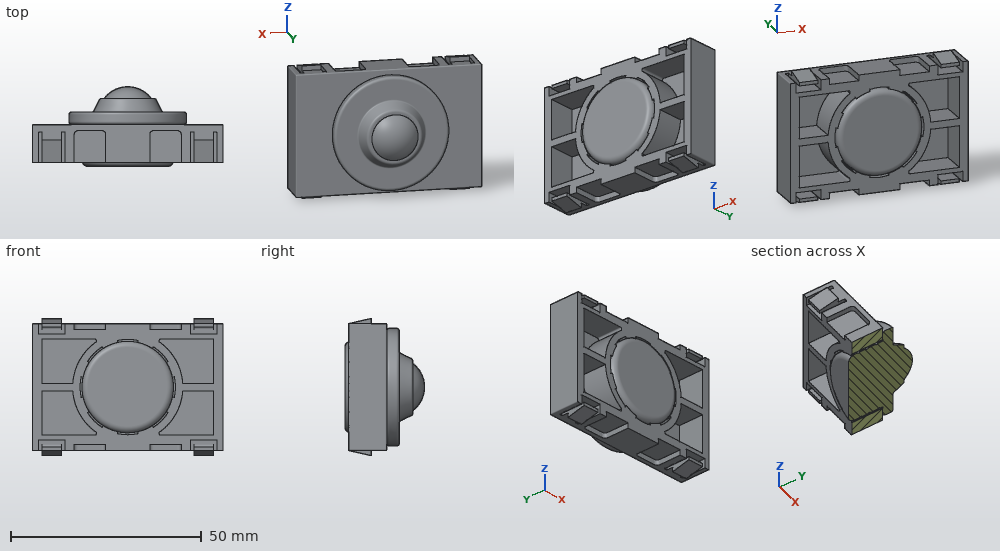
import cadquery as cq
import math


housing_width = 50.0
housing_height = 33.3
housing_depth = 10.0
half_height = housing_height / 2
edge_fillet = 0.3
back_wall = 1.6

barrel_radius = 12.0
notch_radius = 12.5
notch_angle = 25.0
notch_count = 8

pocket_outer_x = 22.5
pocket_inner_x = 8.25
pocket_outer_z = 12.6
rib_thickness = 2.0
bore_wall_radius = 14.45
pocket_corner_fillet = 0.4

window_center_x = 9.9
window_width = 8.25
window_depth = 1.6
window_corner_radius = 1.0

clip_center_x = 19.9
clip_width = 5.15
clip_thickness = 0.95
clip_root_fillet = 0.6
clip_rise = 1.3
clip_catch_y = -4.05
clip_flat = 0.3
clip_recess_width = 7.0
clip_recess_depth = 2.8
clip_recess_end_y = -2.0
clip_recess_fillet = 0.2

barrel_overhang = 1.0
barrel_fillet = 1.6
flange_radius = 15.45
flange_thickness = 3.3
flange_fillet = 0.75
collar_top_y = 6.85
collar_foot_radius = 9.05
collar_top_radius = 7.3
collar_foot_fillet = 0.45
collar_top_fillet = 0.8
ball_radius = 7.75
ball_top_y = 9.95


def cylinder(radius, start_y, end_y):
    """Cylinder around the Y axis between two Y positions."""
    return cq.Workplane("XZ", origin=(0, end_y, 0)).circle(radius).extrude(end_y - start_y)


def box(center_x, width, start_y, end_y, start_z, end_z):
    """Box centred on center_x, between two Y and two Z positions."""
    plane = cq.Workplane("XY", origin=(center_x, (start_y + end_y) / 2, start_z))
    return plane.rect(width, end_y - start_y).extrude(end_z - start_z)


def mirrored(shape):
    """The shape and its three mirror images about X = 0 and Z = 0."""
    pair = shape.union(shape.mirror("YZ"))
    return pair.union(pair.mirror("XY"))


def block():
    """Plain housing block, rounded on its corners and around the flange side."""
    blank = cq.Workplane("XZ").rect(housing_width, housing_height).extrude(housing_depth)
    return blank.edges("|Y or >Y").fillet(edge_fillet)


def bore_notches():
    """Ring segments spread evenly around the bore, through the full depth."""
    half_angle = math.radians(notch_angle / 2)
    wedge_length = 2 * notch_radius
    wedge_half_width = wedge_length * math.tan(half_angle)
    wedge = (
        cq.Workplane("XZ")
        .polyline([(0, 0), (wedge_length, -wedge_half_width), (wedge_length, wedge_half_width)])
        .close()
        .extrude(housing_depth)
    )
    segment = wedge.intersect(cylinder(notch_radius, -housing_depth, 0))
    notches = segment
    for index in range(1, notch_count):
        angle = index * 360 / notch_count
        notches = notches.union(segment.rotate((0, 0, 0), (0, 1, 0), angle))
    return notches


def pocket():
    """Pocket in the +X +Z quarter, open to the front and curved around the bore wall."""
    depth = housing_depth - back_wall
    height = pocket_outer_z - rib_thickness / 2
    blank = (
        cq.Workplane("XZ", origin=(0, -back_wall, 0))
        .moveTo((pocket_inner_x + pocket_outer_x) / 2, rib_thickness / 2 + height / 2)
        .rect(pocket_outer_x - pocket_inner_x, height)
        .extrude(depth)
    )
    rounded = blank.edges("|Y and <X and >Z").fillet(pocket_corner_fillet)
    return rounded.cut(cylinder(bore_wall_radius, -housing_depth, 0))


def window():
    """Shallow recess in the top side, open to the front, with two rounded corners."""
    blank = box(
        window_center_x,
        window_width,
        -housing_depth,
        -back_wall,
        half_height - window_depth,
        half_height,
    )
    return blank.edges("|Z and >Y").fillet(window_corner_radius)


def clip_recess():
    """Recess in the top side, open to the front, that leaves room for a clip."""
    blank = box(
        clip_center_x,
        clip_recess_width,
        -housing_depth,
        clip_recess_end_y,
        half_height - clip_recess_depth,
        half_height,
    )
    return blank.edges("|Z and >Y").fillet(clip_recess_fillet)


def clip():
    """Cantilever with a wedge-shaped catch, rooted in the end wall of its recess."""
    underside_z = half_height - clip_thickness
    catch_z = half_height + clip_rise
    root_y = clip_recess_end_y
    return (
        cq.Workplane("YZ", origin=(clip_center_x - clip_width / 2, 0, 0))
        .moveTo(root_y, half_height)
        .lineTo(clip_catch_y, half_height)
        .lineTo(clip_catch_y, catch_z)
        .lineTo(clip_catch_y - clip_flat, catch_z)
        .lineTo(-housing_depth, half_height)
        .lineTo(-housing_depth, underside_z)
        .lineTo(root_y - clip_root_fillet, underside_z)
        .radiusArc((root_y, underside_z - clip_root_fillet), clip_root_fillet)
        .close()
        .extrude(clip_width)
    )


def make_housing():
    """Snap-in housing with its four clips."""
    housing = block().cut(cylinder(barrel_radius, -housing_depth, 0)).cut(bore_notches())
    for cutter in (pocket(), window(), clip_recess()):
        housing = housing.cut(mirrored(cutter))
    return housing.union(mirrored(clip()))


def make_ball_unit():
    """Barrel, flange, tapered collar and ball as one turned body."""
    head = (
        cq.Workplane("XY")
        .polyline(
            [
                (0, 0),
                (flange_radius, 0),
                (flange_radius, flange_thickness),
                (collar_foot_radius, flange_thickness),
                (collar_top_radius, collar_top_y),
                (0, collar_top_y),
            ]
        )
        .close()
        .revolve(360, (0, 0, 0), (0, 1, 0))
    )
    head = head.edges("%CIRCLE").edges(cq.selectors.RadiusNthSelector(1)).fillet(collar_foot_fillet)
    head = head.edges("%CIRCLE").edges(cq.selectors.RadiusNthSelector(-1)).fillet(flange_fillet)
    head = head.faces(">Y").edges().fillet(collar_top_fillet)

    barrel = cylinder(barrel_radius, -housing_depth - barrel_overhang, 0)
    barrel = barrel.faces("<Y").edges().fillet(barrel_fillet)
    ball = cq.Workplane("XY", origin=(0, ball_top_y - ball_radius, 0)).sphere(ball_radius)
    return head.union(barrel).union(ball)


housing = make_housing()
ball_unit = make_ball_unit()

result = cq.Compound.makeCompound([housing.solids().val(), ball_unit.solids().val()])